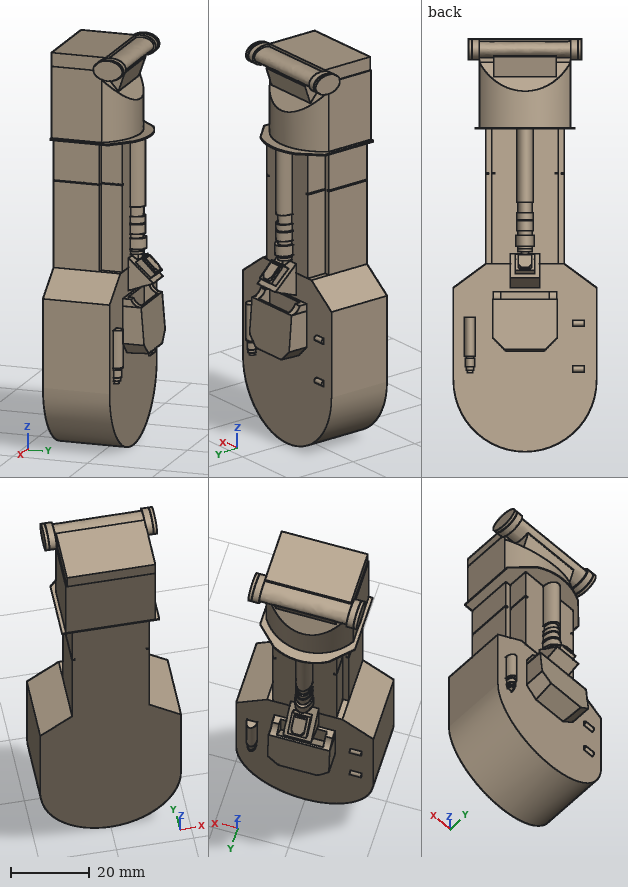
import cadquery as cq

HEAD_WIDTH = 36.51
HEAD_RADIUS = HEAD_WIDTH / 2
TOTAL_HEIGHT = 105.03
TOP_Z = TOTAL_HEIGHT - HEAD_RADIUS
HOUSING_DEPTH = 18.0
NECK_HALF_WIDTH = 10.0
SHOULDER_LOW_Z = 23.5
SHOULDER_HIGH_Z = 29.6
COVER_SEAM_Y = 12.34
COVER_HALF_WIDTH = 8.45

FLANGE_BOTTOM_Z = 63.9
FLANGE_TOP_Z = 64.25
FLANGE_HALF_WIDTH = 12.6
FLANGE_SIDE_Y = 15.6
FLANGE_CORNER_CUT = 5.3
FLANGE_CROWN_Y = 22.85

SLOT_Z = 52.6
SLOT_HEIGHT = 0.25
SLOT_DEPTH = 0.7

BOX_HALF_WIDTH = 11.6
BOX_DEPTH = 13.6
BOX_TOP_Z = 83.15
CROWN_Y = 20.0
CROWN_TOP_Z = 73.5
SLOPE_TOP_Z = 80.8

CAP_DEPTH = 14.66
CAP_LEFT_INSET = 0.3
KNOB_Y_RADIUS = 7.81 / 2
KNOB_Z_RADIUS = 2.65
KNOB_CENTRE_Y = 16.15
KNOB_CENTRE_Z = TOP_Z - KNOB_Z_RADIUS
KNOB_OUTER_X = 14.4
KNOB_GROOVE_X = 13.45
KNOB_GROOVE_WIDTH = 0.1
KNOB_GROOVE_DEPTH = 0.1
AXLE_INSET = 0.55
GUSSET_HALF_WIDTH = 8.0
GUSSET_REAR_Y = 18.5
GUSSET_TIP_Y = 16.8
GUSSET_TOP_Z = 82.2

OVAL_RATIO = 1.5
BARREL_AXIS_Y = HOUSING_DEPTH
BARREL_MAIN = 3.24
BARREL_NECK = 2.7
BARREL_RING = 3.55
BARREL_GROOVE = 3.1
BARREL_TAIL_GROOVE = 2.6
BARREL_SHAFT = 1.35
SHAFT_END_Z = 31.0
BARREL_STEPS = [
    (BARREL_MAIN, 45.2),
    (BARREL_NECK, 42.6),
    (BARREL_MAIN, 40.8),
    (BARREL_GROOVE, 40.5),
    (BARREL_MAIN, 38.0),
    (BARREL_NECK, 36.9),
    (BARREL_RING, 34.1),
    (BARREL_NECK, 33.45),
    (BARREL_TAIL_GROOVE, 33.35),
    (BARREL_NECK, 32.6),
    (BARREL_SHAFT, SHAFT_END_Z),
]

SIGHT_HALF_WIDTH = 3.73
SIGHT_SLAB_HALF_WIDTH = 2.44
SIGHT_PLATE_HALF_WIDTH = 1.72
SIGHT_PLATE_CHAMFER = 0.8
SIGHT_REAR_Y = 25.08
SIGHT_FOOT_TOP_Z = 32.1
SIGHT_NOTCH = (23.6, 27.0)
SIGHT_FOOT_TIP = (24.75, 26.0)
SIGHT_SLAB_UPPER_END = ((19.4, 30.7), (21.0, 32.0))
SIGHT_SLAB_REAR_CORNER = (25.0, 28.0)
SIGHT_PLATE_UPPER_END = ((21.0, 31.6), (21.9, 31.85))
SIGHT_PLATE_LOWER_END = ((SIGHT_REAR_Y, 28.65), (24.5, 28.1))

BLOCK_HALF_WIDTH = 8.14
BLOCK_END_HALF_WIDTH = 4.8
BLOCK_LOW_Z = 7.35
BLOCK_TOP_Z = 20.55
BLOCK_TOP_Y = 22.97
BLOCK_HEEL_Y = 24.0
BLOCK_HEEL_Z = 7.8
BLOCK_LIP_Y = 20.25
BLOCK_LIP_INSET = 0.1
BLOCK_TAPER_Z = 10.7
BLOCK_LIP_Z = 22.5
BLOCK_POCKET_HALF_WIDTH = 6.15
BLOCK_POCKET_Y = 22.4
BLOCK_POCKET_FRONT_Y = 18.8
BLOCK_POCKET_FLOOR_Z = 17.0

VALVE_AXIS_X = 14.0
VALVE_AXIS_Y = HOUSING_DEPTH
VALVE_TOP_Z = 16.0
VALVE_COLLAR = 2.1
VALVE_GROOVE = 1.5
VALVE_NUT = 1.75
VALVE_STEM = 1.5
VALVE_TIP = 1.1
VALVE_STEPS = [
    (VALVE_COLLAR, 6.05),
    (VALVE_GROOVE, 5.5),
    (VALVE_NUT, 3.45),
    (VALVE_STEM, 2.55),
    (VALVE_TIP, 1.85),
]
PIN_HALF_HEIGHT = 0.9
PIN_HALF_DEPTH = PIN_HALF_HEIGHT * OVAL_RATIO
PIN_AXIS_Y = 17.4
PIN_LEFT_X = -15.1
PIN_LENGTH = 3.0
PIN_HEIGHTS = (14.45, 2.85)


def prism_along_x(points, x_start, x_end):
    """Extrude a closed (Y, Z) polygon between two X positions."""
    return cq.Workplane("YZ", origin=(x_start, 0, 0)).polyline(points).close().extrude(x_end - x_start)


def box_between(x_range, y_range, z_range):
    """Axis-aligned box from its limits."""
    sizes = [limits[1] - limits[0] for limits in (x_range, y_range, z_range)]
    corner = (x_range[0], y_range[0], z_range[0])
    return cq.Workplane("XY", origin=corner).box(*sizes, centered=False)


def oval_stack(axis_x, axis_y, top_z, steps):
    """Stepped vertical bar with oval sections; each step is (half depth in Y, lower end Z)."""
    stack = cq.Workplane("XY")
    upper_z = top_z
    for half_depth, lower_z in steps:
        section = cq.Workplane("XY", origin=(axis_x, axis_y, lower_z))
        section = section.ellipse(half_depth / OVAL_RATIO, half_depth)
        stack = stack.union(section.extrude(upper_z - lower_z))
        upper_z = lower_z
    return stack


def arched_prism(half_width, side_y, corner_cut, crown_y, bottom_z, top_z):
    """Vertical prism, flat in front at Y = 0, with 45 degree rear corners and an arched rear."""
    arch_half_width = half_width - corner_cut
    arch_side_y = side_y + corner_cut
    outline = cq.Workplane("XY", origin=(0, 0, bottom_z)).moveTo(-half_width, 0).lineTo(half_width, 0)
    outline = outline.lineTo(half_width, side_y)
    if corner_cut > 0:
        outline = outline.lineTo(arch_half_width, arch_side_y)
    outline = outline.threePointArc((0, crown_y), (-arch_half_width, arch_side_y))
    if corner_cut > 0:
        outline = outline.lineTo(-half_width, side_y)
    return outline.close().extrude(top_z - bottom_z)


def make_slots(half_width):
    """Pair of shallow slots across the two sides of a neck part."""
    z_range = (SLOT_Z - SLOT_HEIGHT / 2, SLOT_Z + SLOT_HEIGHT / 2)
    inner_x = half_width - SLOT_DEPTH
    right = box_between((inner_x, half_width), (0, HOUSING_DEPTH), z_range)
    return right.union(right.mirror("YZ"))


def make_barrel():
    return oval_stack(0, BARREL_AXIS_Y, FLANGE_BOTTOM_Z, BARREL_STEPS)


def make_valve():
    return oval_stack(VALVE_AXIS_X, VALVE_AXIS_Y, VALVE_TOP_Z, VALVE_STEPS)


def make_sight():
    foot_outline = [
        (HOUSING_DEPTH, SHOULDER_LOW_Z),
        (HOUSING_DEPTH, SIGHT_FOOT_TOP_Z),
        SIGHT_NOTCH,
        SIGHT_FOOT_TIP,
    ]
    slab_outline = [*SIGHT_SLAB_UPPER_END, SIGHT_SLAB_REAR_CORNER, SIGHT_NOTCH]
    plate_outline = [*SIGHT_PLATE_UPPER_END, *SIGHT_PLATE_LOWER_END]
    foot = prism_along_x(foot_outline, -SIGHT_HALF_WIDTH, SIGHT_HALF_WIDTH)
    slab = prism_along_x(slab_outline, -SIGHT_SLAB_HALF_WIDTH, SIGHT_SLAB_HALF_WIDTH)
    plate = prism_along_x(plate_outline, -SIGHT_PLATE_HALF_WIDTH, SIGHT_PLATE_HALF_WIDTH)
    clipped_plan = (
        cq.Workplane("XY")
        .moveTo(-SIGHT_PLATE_HALF_WIDTH, HOUSING_DEPTH)
        .lineTo(SIGHT_PLATE_HALF_WIDTH, HOUSING_DEPTH)
        .lineTo(SIGHT_PLATE_HALF_WIDTH, SIGHT_REAR_Y - SIGHT_PLATE_CHAMFER)
        .lineTo(SIGHT_PLATE_HALF_WIDTH - SIGHT_PLATE_CHAMFER, SIGHT_REAR_Y)
        .lineTo(SIGHT_PLATE_CHAMFER - SIGHT_PLATE_HALF_WIDTH, SIGHT_REAR_Y)
        .lineTo(-SIGHT_PLATE_HALF_WIDTH, SIGHT_REAR_Y - SIGHT_PLATE_CHAMFER)
        .close()
        .extrude(FLANGE_BOTTOM_Z)
    )
    plate = plate.intersect(clipped_plan)
    return foot.union(slab).union(plate)


def make_block():
    lip_depth = BLOCK_TOP_Y - BLOCK_LIP_Y
    lip_height = BLOCK_LIP_Z - BLOCK_TOP_Z
    cove_radius = (lip_depth**2 + lip_height**2) / (2 * lip_height)
    side_outline = [
        (HOUSING_DEPTH, BLOCK_LOW_Z),
        (BLOCK_HEEL_Y, BLOCK_HEEL_Z),
        (BLOCK_TOP_Y, BLOCK_TOP_Z),
        (HOUSING_DEPTH, BLOCK_TOP_Z),
    ]
    side = prism_along_x(side_outline, -BLOCK_HALF_WIDTH, BLOCK_HALF_WIDTH)
    lip_half_width = BLOCK_HALF_WIDTH - BLOCK_LIP_INSET
    lip = (
        cq.Workplane("YZ", origin=(-lip_half_width, 0, 0))
        .moveTo(HOUSING_DEPTH, BLOCK_TOP_Z)
        .lineTo(BLOCK_TOP_Y, BLOCK_TOP_Z)
        .radiusArc((BLOCK_LIP_Y, BLOCK_LIP_Z), cove_radius)
        .lineTo(HOUSING_DEPTH, BLOCK_LIP_Z)
        .close()
        .extrude(2 * lip_half_width)
    )
    plan_outline = [
        (-BLOCK_END_HALF_WIDTH, BLOCK_LOW_Z),
        (BLOCK_END_HALF_WIDTH, BLOCK_LOW_Z),
        (BLOCK_HALF_WIDTH, BLOCK_TAPER_Z),
        (BLOCK_HALF_WIDTH, BLOCK_TOP_Z),
        (-BLOCK_HALF_WIDTH, BLOCK_TOP_Z),
        (-BLOCK_HALF_WIDTH, BLOCK_TAPER_Z),
    ]
    taper = cq.Workplane("XZ").polyline(plan_outline).close().extrude(-2 * HOUSING_DEPTH)
    pocket_outline = [
        (BLOCK_POCKET_Y, BLOCK_TOP_Z),
        (BLOCK_POCKET_FRONT_Y, BLOCK_POCKET_FLOOR_Z),
        (BLOCK_POCKET_FRONT_Y, BLOCK_LIP_Z),
        (BLOCK_POCKET_Y, BLOCK_LIP_Z),
    ]
    pocket = prism_along_x(pocket_outline, -BLOCK_POCKET_HALF_WIDTH, BLOCK_POCKET_HALF_WIDTH)
    return side.intersect(taper).union(lip).cut(pocket)


def make_housing():
    body = (
        cq.Workplane("XZ")
        .moveTo(-HEAD_RADIUS, 0)
        .threePointArc((0, -HEAD_RADIUS), (HEAD_RADIUS, 0))
        .lineTo(HEAD_RADIUS, SHOULDER_LOW_Z)
        .lineTo(NECK_HALF_WIDTH, SHOULDER_HIGH_Z)
        .lineTo(NECK_HALF_WIDTH, FLANGE_BOTTOM_Z)
        .lineTo(-NECK_HALF_WIDTH, FLANGE_BOTTOM_Z)
        .lineTo(-NECK_HALF_WIDTH, SHOULDER_HIGH_Z)
        .lineTo(-HEAD_RADIUS, SHOULDER_LOW_Z)
        .close()
        .extrude(-HOUSING_DEPTH)
    )
    for height in PIN_HEIGHTS:
        pin = cq.Workplane("YZ", origin=(PIN_LEFT_X, PIN_AXIS_Y, height))
        pin = pin.ellipse(PIN_HALF_DEPTH, PIN_HALF_HEIGHT).extrude(PIN_LENGTH)
        body = body.union(pin)
    cover_seat = box_between(
        (-NECK_HALF_WIDTH, NECK_HALF_WIDTH),
        (COVER_SEAM_Y, HOUSING_DEPTH),
        (SHOULDER_HIGH_Z, FLANGE_BOTTOM_Z),
    )
    return body.cut(cover_seat).cut(make_slots(NECK_HALF_WIDTH)).cut(valve)


def make_cover():
    y_range = (COVER_SEAM_Y, HOUSING_DEPTH)
    z_range = (SHOULDER_HIGH_Z, FLANGE_BOTTOM_Z)
    blank = box_between((-COVER_HALF_WIDTH, COVER_HALF_WIDTH), y_range, z_range)
    return blank.cut(make_slots(COVER_HALF_WIDTH)).cut(barrel)


def make_upper_box():
    body = arched_prism(BOX_HALF_WIDTH, BOX_DEPTH, 0, CROWN_Y, FLANGE_TOP_Z, BOX_TOP_Z)
    waste_outline = [
        (CROWN_Y, CROWN_TOP_Z),
        (BOX_DEPTH, SLOPE_TOP_Z),
        (BOX_DEPTH, BOX_TOP_Z),
        (CROWN_Y, BOX_TOP_Z),
    ]
    return body.cut(prism_along_x(waste_outline, -BOX_HALF_WIDTH, BOX_HALF_WIDTH))


def make_oval(x_start, x_end, inset):
    sketch = cq.Workplane("YZ", origin=(x_start, KNOB_CENTRE_Y, KNOB_CENTRE_Z))
    return sketch.ellipse(KNOB_Y_RADIUS - inset, KNOB_Z_RADIUS - inset).extrude(x_end - x_start)


def make_cap():
    lid = box_between((CAP_LEFT_INSET - BOX_HALF_WIDTH, BOX_HALF_WIDTH), (0, CAP_DEPTH), (BOX_TOP_Z, TOP_Z))
    axle = make_oval(-BOX_HALF_WIDTH, BOX_HALF_WIDTH, AXLE_INSET)
    slope = (SLOPE_TOP_Z - CROWN_TOP_Z) / (CROWN_Y - BOX_DEPTH)
    gusset_tip_z = SLOPE_TOP_Z - slope * (GUSSET_TIP_Y - BOX_DEPTH)
    gusset_outline = [
        (BOX_DEPTH, SLOPE_TOP_Z),
        (GUSSET_TIP_Y, gusset_tip_z),
        (GUSSET_REAR_Y, GUSSET_TOP_Z),
        (KNOB_CENTRE_Y, KNOB_CENTRE_Z),
        (BOX_DEPTH, BOX_TOP_Z),
    ]
    gusset = prism_along_x(gusset_outline, -GUSSET_HALF_WIDTH, GUSSET_HALF_WIDTH)
    cap = lid.union(axle).union(gusset).cut(upper_box)
    groove_end_x = KNOB_GROOVE_X + KNOB_GROOVE_WIDTH
    knob = make_oval(BOX_HALF_WIDTH, KNOB_GROOVE_X, 0)
    knob = knob.union(make_oval(KNOB_GROOVE_X, groove_end_x, KNOB_GROOVE_DEPTH))
    knob = knob.union(make_oval(groove_end_x, KNOB_OUTER_X, 0))
    return cap.union(knob).union(knob.mirror("YZ"))


valve = make_valve()
housing = make_housing()
sight = make_sight()
barrel = make_barrel().cut(sight)
cover = make_cover()
flange = arched_prism(
    FLANGE_HALF_WIDTH,
    FLANGE_SIDE_Y,
    FLANGE_CORNER_CUT,
    FLANGE_CROWN_Y,
    FLANGE_BOTTOM_Z,
    FLANGE_TOP_Z,
)
upper_box = make_upper_box()
cap = make_cap()
block = make_block()

result = cq.Compound.makeCompound(
    [
        housing.val(),
        cover.val(),
        flange.val(),
        upper_box.val(),
        cap.val(),
        barrel.val(),
        sight.val(),
        block.val(),
        valve.val(),
    ]
)